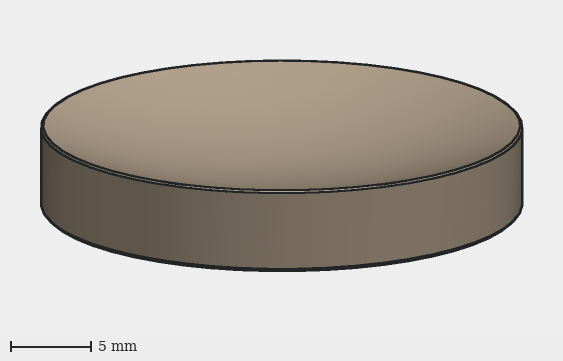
import cadquery as cq

diameter = 30.0
thickness = 5.25
top_chamfer = 0.145
bottom_chamfer = 0.2
hollow_depth = 2.7

radius = diameter / 2
rim_radius = radius - top_chamfer
hollow_floor = thickness - hollow_depth

sphere_radius = (rim_radius**2 + hollow_depth**2) / (2 * hollow_depth)
sphere_center_height = hollow_floor + sphere_radius

disc = cq.Workplane("XY").circle(radius).extrude(thickness)
disc = disc.faces(">Z").edges().chamfer(top_chamfer)
disc = disc.faces("<Z").edges().chamfer(bottom_chamfer)

hollow = cq.Workplane("XY").sphere(sphere_radius).translate((0, 0, sphere_center_height))

result = disc.cut(hollow)